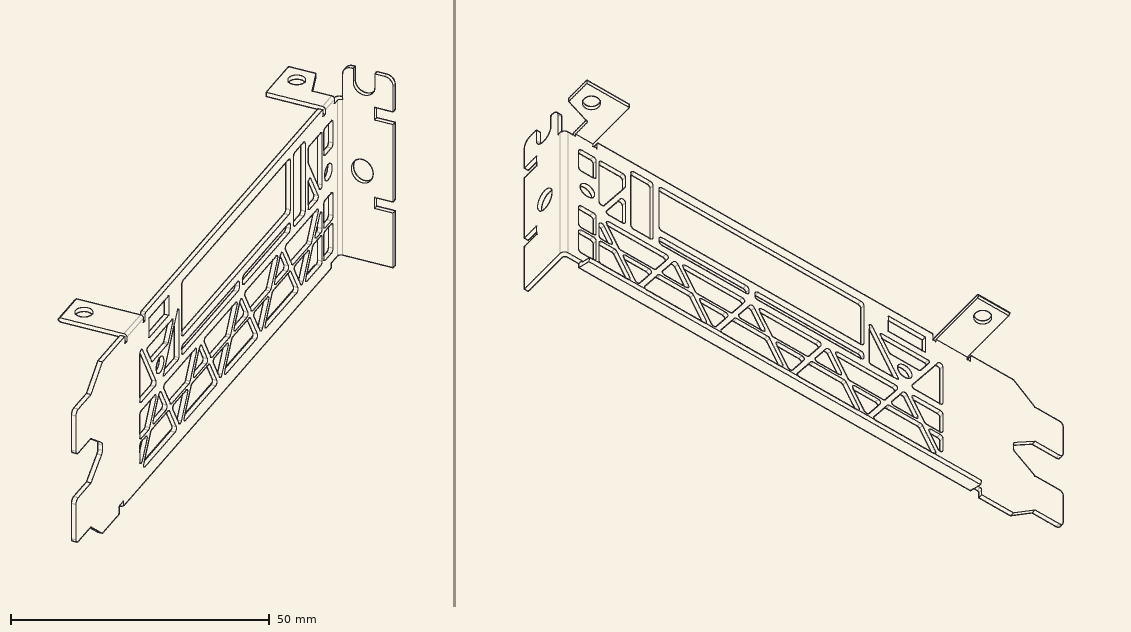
import cadquery as cq
import math

SHEET = 1.0
PLATE_TOP = 39.2
PLATE_MID = PLATE_TOP / 2
FLANGE_FACE_Y = 121.1
FOLD_TOP = 37.5
FOLD_BOTTOM = 1.9
NEAR_RELIEF_WIDTH = 0.7
FAR_RELIEF_WIDTH = 1.0
RELIEF_ROUND = 0.4

TONGUE_ROOT_Y = 6.8
SHOULDER_Y = 12.0
TONGUE_OUTER = 15.2
TONGUE_INNER = 5.1
CROTCH_HALF = 1.1
TONGUE_ROUND = 1.0

TAB_TOP = 39.1
TAB_BEND = 0.6
TAB_HOLE_RADIUS = 1.7
NEAR_TAB = (23.2, 30.8)
NEAR_TAB_REACH = 14.7
NEAR_TAB_HOLE_X = -10.9
NEAR_TAB_TIP = 0.4
FAR_TAB = (113.9, 118.1)
FAR_TAB_REACH = 12.7
FAR_TAB_HEAD_Y = 124.2
FAR_TAB_SLANT_X = (-6.8, -4.8)
FAR_TAB_HOLE = (-9.2, 120.5)

LIP = (21.7, 116.6)
LIP_TILT = 20
LIP_REACH = 3.6
LIP_LOW_Z = -0.5
LIP_BEND = 0.4
LIP_GAP_END_Y = 19.7

FLANGE_EDGE_X = 11.5
FLANGE_TOP = 45.2
FLANGE_INNER_BEND = 0.7
FLANGE_OUTER_BEND = 1.1
FLANGE_CORNER = 1.9
SCREW_SLOT_X = 5.3
SCREW_SLOT_WIDTH = 4.6
SCREW_SLOT_BOTTOM = 39.7
FLANGE_HOLE = (5, 22.2)
FLANGE_HOLE_SIZE = (4.6, 5.3)
FLANGE_NOTCH_X = 7.6
FLANGE_NOTCHES = ((34.7, 37.5), (14.4, 16.9))

WINDOW_CORNER = 0.7
STRUT_CORNER = 0.6
SMALL_CORNER = 0.4
STRUT_ANGLE = 60
APEX_PITCH = 18.5
APEX_COUNT = 5
WINDOW_LOW_Y = 29.2
TRUSS_HIGH_Y = 112.4
COLUMN = (113.1, 117.4)
LOWER_ROW = (4.1, 10.8)
UPPER_ROW = (11.5, 17.9)
CHORD_TOP = 19.9
TALL_TOP = 36.8
SIDE_TOP = 34.4
COLUMN_TOP_LOW_Z = 28.2
SIDE_PANEL_LOW_Y = 106.1
TALL_WINDOW = (99.4, 104.7)
MAIN_WINDOW = (48.3, 97.9)
MAIN_WINDOW_LOW_Z = 24.1
VENT_TOP = 22.1
VENT_RIB = (74.6, 76.1)
FORK_HIGH_Y = 47.0
FORK_WINDOW = (26.2, 30.7)
SMALL_WINDOW = (33.4, 42.4)
SMALL_WINDOW_Z = (32.5, 37.0)
PLATE_HOLE_RADIUS = 1.7
PLATE_HOLE_Z = 23.5

STRUT_SLOPE = math.tan(math.radians(STRUT_ANGLE))
STRUT_SPAN = APEX_PITCH / 2 - (UPPER_ROW[1] - LOWER_ROW[0]) / STRUT_SLOPE
APEXES = [TRUSS_HIGH_Y - i * APEX_PITCH for i in range(APEX_COUNT)]


def box(x_range, y_range, z_range):
    size = [r[1] - r[0] for r in (x_range, y_range, z_range)]
    corner = (x_range[0], y_range[0], z_range[0])
    return cq.Workplane("XY").box(*size, centered=False).translate(corner)


def sheet_profile(points):
    """Sheet in the faceplate's plane, outlined by (y, z) points."""
    return cq.Workplane("YZ").polyline(points).close().extrude(-SHEET)


def window(y_range, z_range):
    return box((-SHEET, 0), y_range, z_range)


def strut(apex_y, apex_z, side, end_z):
    """Slanted bar that leaves an apex towards -Y (side -1) or +Y (side 1) and stops at end_z."""
    run = side * abs(end_z - apex_z) / STRUT_SLOPE
    width = side * STRUT_SPAN
    return sheet_profile([
        (apex_y, apex_z), (apex_y + width, apex_z),
        (apex_y + width + run, end_z), (apex_y + run, end_z),
    ])


def rounded(cutter, radius=STRUT_CORNER):
    """Round the corners of a window cutter."""
    return cutter.edges("|X").fillet(radius)


def round_corners(body, corners, radius):
    """Round the X-direction edges of the sheet at the given (y, z) corners."""
    for y, z in corners:
        corner_edge = cq.selectors.NearestToPointSelector((-SHEET / 2, y, z))
        body = body.edges("|X").edges(corner_edge).fillet(radius)
    return body


def faceplate():
    upper = [(0, PLATE_MID + TONGUE_INNER), (0, PLATE_MID + TONGUE_OUTER)]
    lower = [(0, PLATE_MID - TONGUE_OUTER), (0, PLATE_MID - TONGUE_INNER)]
    crotch = [(SHOULDER_Y, PLATE_MID - CROTCH_HALF), (SHOULDER_Y, PLATE_MID + CROTCH_HALF)]
    relief_end = FAR_TAB[0] - FAR_RELIEF_WIDTH
    body = sheet_profile([
        (SHOULDER_Y, 0), (TONGUE_ROOT_Y, lower[0][1]), *lower,
        (TONGUE_ROOT_Y, lower[1][1]), *crotch,
        (TONGUE_ROOT_Y, upper[0][1]), *upper,
        (TONGUE_ROOT_Y, upper[1][1]), (SHOULDER_Y, PLATE_TOP),
        (relief_end, PLATE_TOP), (relief_end, FOLD_TOP),
        (FLANGE_FACE_Y, FOLD_TOP), (FLANGE_FACE_Y, FOLD_BOTTOM),
        (LIP_GAP_END_Y, FOLD_BOTTOM), (LIP_GAP_END_Y, 0),
    ])
    tab_gap = (NEAR_TAB[0] - NEAR_RELIEF_WIDTH, NEAR_TAB[1] + NEAR_RELIEF_WIDTH)
    body = body.cut(window(tab_gap, (FOLD_TOP, PLATE_TOP)))
    body = round_corners(body, upper + lower + crotch, TONGUE_ROUND)
    relief_corners = [(y, PLATE_TOP) for y in (*tab_gap, relief_end)]
    relief_corners.append((LIP_GAP_END_Y, FOLD_BOTTOM))
    return round_corners(body, relief_corners, RELIEF_ROUND)


def tab(outline, y_range, tip_bevel=0):
    """Tab outlined by (x, y) points, with a riser over y_range and a rounded outer bend."""
    leaf = cq.Workplane("XY", origin=(0, 0, TAB_TOP - SHEET)).polyline(outline).close().extrude(SHEET)
    if tip_bevel:
        leaf = leaf.edges("|Y and <X").chamfer(tip_bevel)
    body = leaf.union(window(y_range, (FOLD_TOP, TAB_TOP)))
    return body.edges("|Y and >X and >Z").fillet(TAB_BEND)


def tab_hole(x, y):
    return cq.Workplane("XY").center(x, y).circle(TAB_HOLE_RADIUS).extrude(PLATE_TOP)


def near_tab():
    low, high = NEAR_TAB
    outline = [(0, low), (-NEAR_TAB_REACH, low), (-NEAR_TAB_REACH, high), (0, high)]
    body = tab(outline, NEAR_TAB, NEAR_TAB_TIP)
    return body.cut(tab_hole(NEAR_TAB_HOLE_X, (low + high) / 2))


def far_tab():
    low, high = FAR_TAB
    head_x, root_x = FAR_TAB_SLANT_X
    body = tab([
        (0, low), (-FAR_TAB_REACH, low), (-FAR_TAB_REACH, FAR_TAB_HEAD_Y),
        (head_x, FAR_TAB_HEAD_Y), (root_x, high), (0, high),
    ], FAR_TAB)
    return body.cut(tab_hole(*FAR_TAB_HOLE))


def bottom_lip():
    tilt = math.radians(LIP_TILT)
    tip_top = (-LIP_REACH, LIP_LOW_Z + SHEET * math.cos(tilt))
    tip_low = (-LIP_REACH + SHEET * math.sin(tilt), LIP_LOW_Z)
    inner_z = tip_top[1] + (LIP_REACH - SHEET) * math.tan(tilt)
    outer_z = tip_low[1] - tip_low[0] * math.tan(tilt)
    profile = [
        tip_top, (-SHEET, inner_z), (-SHEET, FOLD_BOTTOM), (0, FOLD_BOTTOM), (0, outer_z), tip_low,
    ]
    plane = cq.Workplane("XZ", origin=(0, LIP[1], 0))
    body = plane.polyline(profile).close().extrude(LIP[1] - LIP[0])
    bend_edge = cq.selectors.NearestToPointSelector((-SHEET, sum(LIP) / 2, inner_z))
    return body.edges("|Y").edges(bend_edge).fillet(LIP_BEND)


def flange():
    depth = (FLANGE_FACE_Y - SHEET, FLANGE_FACE_Y)
    body = box((FLANGE_INNER_BEND, FLANGE_EDGE_X), depth, (FOLD_BOTTOM, FLANGE_TOP))
    body = body.edges("|Y and >Z").fillet(FLANGE_CORNER)
    body = body.union(box((-SHEET, FLANGE_EDGE_X), depth, (FOLD_BOTTOM, FLANGE_NOTCHES[0][0])))
    body = body.union(box((-SHEET, FLANGE_INNER_BEND), depth, (FOLD_BOTTOM, FOLD_TOP)))

    slot_radius = SCREW_SLOT_WIDTH / 2
    slot_x = (SCREW_SLOT_X - slot_radius, SCREW_SLOT_X + slot_radius)
    slot_z = SCREW_SLOT_BOTTOM + slot_radius
    across = cq.Workplane("XZ", origin=(0, FLANGE_FACE_Y, 0))
    body = body.cut(box(slot_x, depth, (slot_z, FLANGE_TOP)))
    body = body.cut(across.center(SCREW_SLOT_X, slot_z).circle(slot_radius).extrude(SHEET))
    body = body.cut(across.center(*FLANGE_HOLE).ellipse(*[s / 2 for s in FLANGE_HOLE_SIZE]).extrude(SHEET))
    for z_range in FLANGE_NOTCHES:
        body = body.cut(box((FLANGE_NOTCH_X, FLANGE_EDGE_X), depth, z_range))
    return body


def truss_windows():
    """Two rows of openings between struts that zigzag up to the apexes."""
    bottom, top = LOWER_ROW[0], UPPER_ROW[1]
    body = window((WINDOW_LOW_Y, TRUSS_HIGH_Y), LOWER_ROW)
    body = body.union(window((WINDOW_LOW_Y, TRUSS_HIGH_Y), UPPER_ROW))
    for apex in APEXES:
        for side in (-1, 1):
            body = body.cut(strut(apex, top, side, bottom))
    return rounded(body)


def side_panel_windows():
    """Openings above and below the strut that rises from the first apex."""
    body = window((SIDE_PANEL_LOW_Y, TRUSS_HIGH_Y), (CHORD_TOP, SIDE_TOP))
    return rounded(body.cut(strut(TRUSS_HIGH_Y, CHORD_TOP, -1, SIDE_TOP)))


def fork_windows():
    """Openings around the two struts that spread upwards from the last apex."""
    apex = APEXES[-1]
    outer = []
    for side, edge, radius in ((-1, WINDOW_LOW_Y, STRUT_CORNER), (1, FORK_HIGH_Y, SMALL_CORNER)):
        foot = apex + side * STRUT_SPAN
        outer.append(rounded(sheet_profile([
            (foot, CHORD_TOP), (edge, CHORD_TOP), (edge, CHORD_TOP + abs(edge - foot) * STRUT_SLOPE),
        ]), radius))
    low, high = FORK_WINDOW
    low_half = (low - CHORD_TOP) / STRUT_SLOPE
    high_half = (high - CHORD_TOP) / STRUT_SLOPE
    centre = sheet_profile([
        (apex - low_half, low), (apex + low_half, low), (apex + high_half, high), (apex - high_half, high),
    ])
    return outer[0].union(outer[1]).union(rounded(centre, SMALL_CORNER))


def plain_windows():
    column_ranges = (LOWER_ROW, UPPER_ROW, (COLUMN_TOP_LOW_Z, SIDE_TOP))
    body = window(TALL_WINDOW, (CHORD_TOP, TALL_TOP))
    for z_range in column_ranges:
        body = body.union(window(COLUMN, z_range))
    body = body.union(window(MAIN_WINDOW, (MAIN_WINDOW_LOW_Z, TALL_TOP)))
    for y_range in ((MAIN_WINDOW[0], VENT_RIB[0]), (VENT_RIB[1], MAIN_WINDOW[1])):
        body = body.union(window(y_range, (CHORD_TOP, VENT_TOP)))
    return rounded(body, WINDOW_CORNER).union(window(SMALL_WINDOW, SMALL_WINDOW_Z))


def plate_holes():
    centres = [(sum(COLUMN) / 2, PLATE_HOLE_Z), (APEXES[-1], PLATE_HOLE_Z)]
    return cq.Workplane("YZ").pushPoints(centres).circle(PLATE_HOLE_RADIUS).extrude(-SHEET)


folded = faceplate().union(flange())
folded = folded.edges("|Z and <X and >Y").fillet(FLANGE_OUTER_BEND)
inner_corner = cq.selectors.NearestToPointSelector((0, FLANGE_FACE_Y - SHEET, PLATE_MID))
folded = folded.edges("|Z").edges(inner_corner).fillet(FLANGE_INNER_BEND)
for piece in (near_tab(), far_tab(), bottom_lip()):
    folded = folded.union(piece)
for opening in (truss_windows(), side_panel_windows(), fork_windows(), plain_windows(), plate_holes()):
    folded = folded.cut(opening)
result = folded